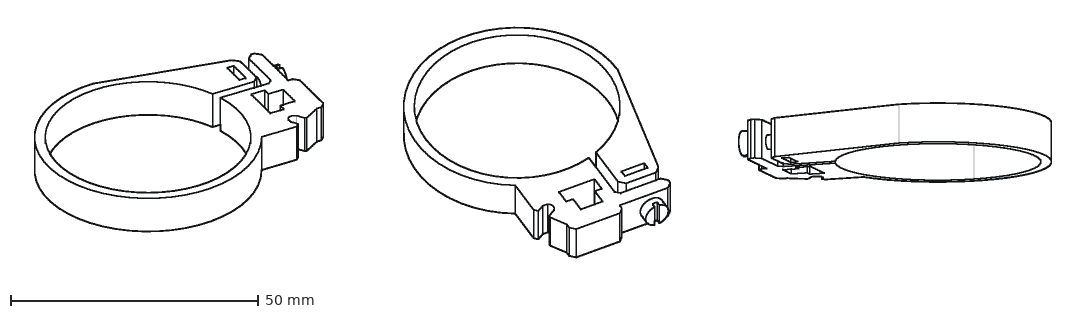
import cadquery as cq
import math

width = 8.0
outer_radius = 23.0
bore_radius = 20.8

gap_left = -7.9
gap_right = -5.9
lug_top = 30.05
lug_left = -17.2
lug_chamfer = 1.2

arm_left = -17.2
arm_bottom = 32.05
arm_top = 35.15
arm_chamfer = 1.15
arm_root_chamfer = 0.9

block_left = -5.0
block_right = 11.0
block_top = 37.2
block_shoulder = 7.0
block_chamfer = 1.0

stem_width = 4.95
stem_top = 32.55
bar_width = 8.1
bar_top = 29.15
bar_bottom = 26.0

screw_x = -12.35
head_diameter = 5.2
head_top = 37.5
drive_width = 1.1
drive_depth = 0.95
shank_diameter = 2.95
nut_slot_length = 5.2
nut_slot_bottom = 26.55
nut_slot_top = 28.05
nut_slot_x = -12.5


def box_between(x_center, length, y_low, y_high):
    """Full-width block with the given X length and Y limits."""
    return (
        cq.Workplane("XY")
        .center(x_center, (y_low + y_high) / 2)
        .rect(length, y_high - y_low)
        .extrude(width)
    )


def y_cylinder(diameter, y_low, y_high):
    """Cylinder along Y on the screw axis."""
    return (
        cq.Workplane("XZ", origin=(screw_x, y_low, width / 2))
        .circle(diameter / 2)
        .extrude(y_low - y_high)
    )


def make_lug():
    """Tapered lug whose long side starts at the leftmost point of the band."""
    outline = [
        (-outer_radius, 0),
        (lug_left, lug_top - lug_chamfer),
        (lug_left + lug_chamfer, lug_top),
        (gap_left - lug_chamfer, lug_top),
        (gap_left, lug_top - lug_chamfer),
        (gap_left, 0),
    ]
    return cq.Workplane("XY").polyline(outline).close().extrude(width)


def make_block():
    """Fixed block with the screw arm on its left and a hooked notch on its right."""
    right_foot = math.sqrt(outer_radius**2 - block_right**2)
    return (
        cq.Workplane("XY")
        .moveTo(gap_right, 0)
        .lineTo(gap_right, arm_bottom - arm_root_chamfer)
        .lineTo(gap_right - arm_root_chamfer, arm_bottom)
        .lineTo(arm_left + arm_chamfer, arm_bottom)
        .lineTo(arm_left, arm_bottom + arm_chamfer)
        .lineTo(arm_left, arm_top - arm_chamfer)
        .lineTo(arm_left + arm_chamfer, arm_top)
        .lineTo(block_left, arm_top)
        .lineTo(block_left, block_top - block_chamfer)
        .lineTo(block_left + block_chamfer, block_top)
        .lineTo(block_shoulder - block_chamfer, block_top)
        .lineTo(block_shoulder, block_top - block_chamfer)
        .lineTo(block_shoulder, arm_top)
        .lineTo(9.1, 31.7)
        .lineTo(9.0, 31.25)
        .lineTo(7.4, 30.2)
        .threePointArc((7.0, 29.15), (7.75, 28.05))
        .lineTo(8.8, 28.05)
        .lineTo(10.35, 28.95)
        .lineTo(block_right, 28.25)
        .lineTo(block_right, right_foot)
        .lineTo(0, 0)
        .close()
        .extrude(width)
    )


def make_band():
    """Solid disc, cleared above the X axis from its left edge to the right side of the gap.

    The lug fills the cleared region up to its own straight flank.
    """
    disc = cq.Workplane("XY").circle(outer_radius).extrude(width)
    cleared_length = gap_right + outer_radius
    cleared = box_between(gap_right - cleared_length / 2, cleared_length, 0, outer_radius)
    return disc.cut(cleared)


def make_screw():
    """Slotted cheese-head screw ending at the far side of the nut slot."""
    head = y_cylinder(head_diameter, arm_top, head_top)
    drive_slot = box_between(screw_x, drive_width, head_top - drive_depth, head_top)
    shank = y_cylinder(shank_diameter, nut_slot_bottom, arm_top)
    return head.cut(drive_slot).union(shank)


bore = cq.Workplane("XY").circle(bore_radius).extrude(width)
t_window = box_between(0, stem_width, bar_bottom, stem_top).union(
    box_between(0, bar_width, bar_bottom, bar_top)
)
nut_slot = box_between(nut_slot_x, nut_slot_length, nut_slot_bottom, nut_slot_top)

clamp = make_band().union(make_lug()).union(make_block())
clamp = clamp.cut(bore).cut(t_window).cut(nut_slot)
result = clamp.union(make_screw())